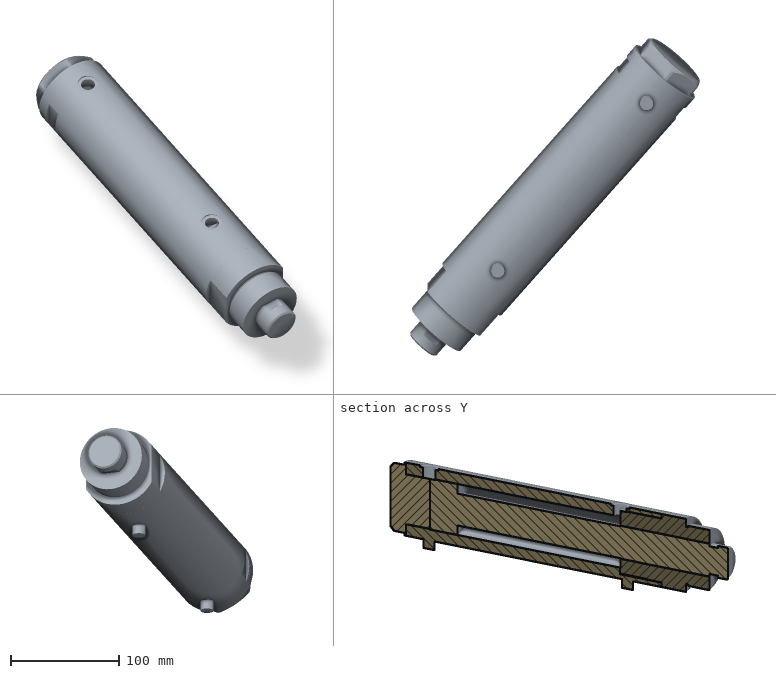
import cadquery as cq
import math


flange_start = 14.5
tube_start = 16.8
piston_start = 42.2
piston_end = 71.5
head_start = 243.0
tube_end = 287.0
head_end = 313.0
neck_end = 314.5
nose_bevel_end = 315.5
nose_end = 338.0
rod_end = 357.5

body_radius = 36.5
bore_radius = 25.0
head_bore_radius = 31.5
nose_radius = 30.0
neck_radius = 28.5
rod_radius = 16.0
rod_bevel = 1.5

hex_across_flats = 60.0
hex_corner_radius = 34.0
hex_face_radius = 29.5
hex_bevel_length = 4.0

tube_flat_start = 26.5
tube_flat_length = 14.5
tube_flat_offset = 33.2
head_flat_offset = 31.8
rod_flat_end = 346.8
rod_flat_offset = 14.0

port_positions = (41.0, head_start)
port_radius = 6.5
spotface_radius = 9.5
spotface_depth = 1.5
peg_positions = (40.8, 251.0)
peg_radius = 6.0
peg_bottom = -45.0


def cylinder(start, end, radius):
    """A cylinder about the X axis between two stations."""
    return cq.Workplane("YZ", origin=(start, 0, 0)).circle(radius).extrude(end - start)


def upright_cylinder(x, bottom, top, radius):
    """A vertical cylinder through the X axis at station x."""
    return cq.Workplane("XY", origin=(x, 0, bottom)).circle(radius).extrude(top - bottom)


def turned(profile):
    """Revolve a closed (x, radius) profile about the X axis."""
    return cq.Workplane("XY").polyline(profile).close().revolve(360, (0, 0, 0), (1, 0, 0))


def slab(start, end, half_y, half_z):
    """A block centred on the X axis, used to leave parallel flats."""
    return (
        cq.Workplane("YZ", origin=(start, 0, 0))
        .rect(2 * half_y, 2 * half_z)
        .extrude(end - start)
    )


def make_cap():
    """End cap: bevelled hexagon, thin flange and a plug that fills the bore."""
    corner_diameter = hex_across_flats / math.cos(math.pi / 6)
    hexagon = (
        cq.Workplane("YZ")
        .transformed(rotate=(0, 0, 90))
        .polygon(6, corner_diameter)
        .extrude(flange_start)
    )
    bevel_envelope = turned([
        (0, 0),
        (0, hex_face_radius),
        (hex_bevel_length, hex_corner_radius),
        (flange_start, hex_corner_radius),
        (flange_start, 0),
    ])
    flange = cylinder(flange_start, tube_start, body_radius)
    plug = cylinder(tube_start, piston_start, bore_radius)
    return hexagon.intersect(bevel_envelope).union(flange).union(plug)


def make_tube():
    """Outer tube: stepped bore, two wrench flats, two spotfaced ports and two pegs."""
    tube = cylinder(tube_start, tube_end, body_radius)
    for x in peg_positions:
        tube = tube.union(upright_cylinder(x, peg_bottom, 0, peg_radius))
    tube = tube.cut(cylinder(tube_start, head_start, bore_radius))
    tube = tube.cut(cylinder(head_start, tube_end, head_bore_radius))

    flat_end = tube_flat_start + tube_flat_length
    flat_ring = cylinder(tube_flat_start, flat_end, body_radius).cut(
        slab(tube_flat_start, flat_end, tube_flat_offset, body_radius)
    )
    tube = tube.cut(flat_ring)

    spotface_floor = body_radius - spotface_depth
    for x in port_positions:
        tube = tube.cut(upright_cylinder(x, 0, body_radius, port_radius))
        tube = tube.cut(upright_cylinder(x, spotface_floor, body_radius, spotface_radius))
    return tube


def make_head():
    """Rod-end head: plug in the bore, collar with two flats, neck and nose with a rod hole."""
    plug = cylinder(head_start, tube_end, head_bore_radius)
    collar = cylinder(tube_end, head_end, body_radius).intersect(
        slab(tube_end, head_end, head_flat_offset, body_radius)
    )
    nose = turned([
        (head_end, 0),
        (head_end, neck_radius),
        (neck_end, neck_radius),
        (nose_bevel_end, nose_radius),
        (nose_end, nose_radius),
        (nose_end, 0),
    ])
    rod_hole = cylinder(head_start, nose_end, rod_radius)
    return plug.union(collar).union(nose).cut(rod_hole)


def make_rod():
    """Piston and rod in one piece, with two flats near the bevelled rod tip."""
    piston = cylinder(piston_start, piston_end, bore_radius)
    shaft = cylinder(piston_end, rod_end, rod_radius)
    shaft = shaft.faces(">X").chamfer(rod_bevel)
    flat_cuts = cylinder(nose_end, rod_flat_end, rod_radius).cut(
        slab(nose_end, rod_flat_end, rod_radius, rod_flat_offset)
    )
    return piston.union(shaft.cut(flat_cuts))


cap = make_cap()
tube = make_tube()
head = make_head()
rod = make_rod()

bodies = [cap, tube, head, rod]
result = cq.Compound.makeCompound([body.solids().val() for body in bodies])